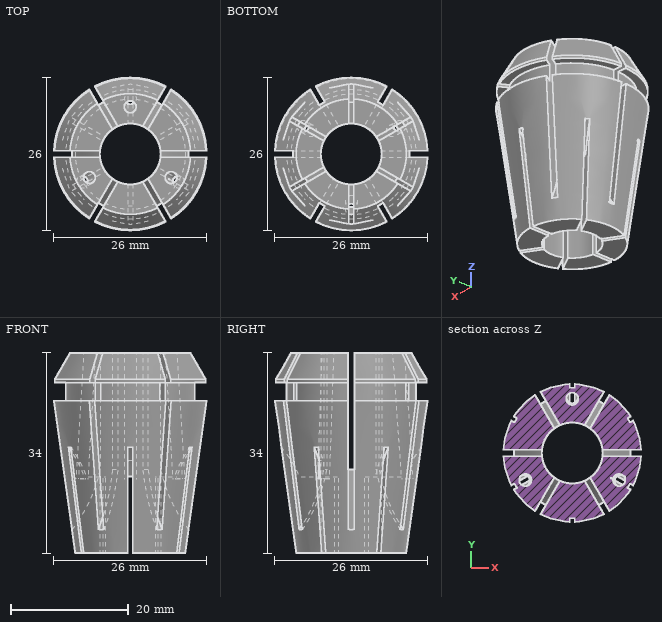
import cadquery as cq
import math


full_turn = 360.0

total_height = 34.0
body_radius = 13.0
body_height = 25.9
body_half_angle = 8.0
bore_radius = 5.15

groove_radius = 11.0
flange_radius = 12.85
flange_bottom = 28.95
flange_top = 29.5
head_half_angle = 30.0

slots_per_end = 6
slot_pitch = full_turn / slots_per_end
upper_cutter_radius = 25.0
upper_slot_width = 1.05
upper_slot_end = 4.0
upper_slot_bore_end = 14.2
lower_slot_width = 0.8
lower_slot_end = 18.0
lower_slot_inner_end = 13.0
lower_cutter_radius = 20.0
lower_runout_radius = 8.8

hole_count = 3
hole_radius = 1.0
hole_circle_radius = 8.0
hole_tilt = 4.0
hole_depth = 21.4
first_hole_angle = 90.0

hole_overshoot = 2.0


def body_radius_at(height):
    """Radius of the long clamping cone at the given height."""
    return body_radius - (body_height - height) * math.tan(math.radians(body_half_angle))


def make_blank():
    """Revolved collet without slots or holes."""
    head_slope = math.tan(math.radians(head_half_angle))
    top_radius = flange_radius - (total_height - flange_top) * head_slope
    return (
        cq.Workplane("XZ")
        .moveTo(bore_radius, 0)
        .lineTo(body_radius_at(0), 0)
        .lineTo(body_radius, body_height)
        .lineTo(groove_radius, body_height)
        .lineTo(groove_radius, flange_bottom)
        .lineTo(flange_radius, flange_bottom)
        .lineTo(flange_radius, flange_top)
        .lineTo(top_radius, total_height)
        .lineTo(bore_radius, total_height)
        .close()
        .revolve(full_turn, (0, 0, 0), (0, 1, 0))
    )


def make_slot(width, outer_end, inner_end, inner_radius, cutter_radius, open_end):
    """Slot in the XZ plane at +X, open at one end of the part.

    Its floor is flat out to inner_radius, then curves to meet the outer cone at outer_end.
    """
    outer_radius = body_radius_at(outer_end)
    direction = 1 if open_end > outer_end else -1

    chord_x = outer_radius - inner_radius
    chord_z = outer_end - inner_end
    chord = math.hypot(chord_x, chord_z)
    centre_offset = math.sqrt(cutter_radius**2 - (chord / 2) ** 2)
    centre_x = (outer_radius + inner_radius) / 2 - direction * centre_offset * chord_z / chord
    centre_z = (outer_end + inner_end) / 2 + direction * centre_offset * chord_x / chord

    disc = (
        cq.Workplane("XZ")
        .center(centre_x, centre_z)
        .circle(cutter_radius)
        .extrude(width / 2, both=True)
    )
    feed = abs(open_end - centre_z) + cutter_radius
    path = (
        cq.Workplane("XZ")
        .center(centre_x, centre_z + direction * feed / 2)
        .rect(2 * cutter_radius, feed)
        .extrude(width / 2, both=True)
    )
    inner_part = (
        cq.Workplane("XZ")
        .center(inner_radius / 2, (inner_end + open_end) / 2)
        .rect(inner_radius, abs(open_end - inner_end))
        .extrude(width / 2, both=True)
    )
    return disc.union(path).union(inner_part)


def make_hole():
    """Hole at +X that starts in the top face and leans outward as it goes down."""
    tilt = math.radians(hole_tilt)
    axis = cq.Vector(math.sin(tilt), 0, -math.cos(tilt))
    mouth = cq.Vector(hole_circle_radius, 0, total_height)
    length = hole_depth + hole_overshoot
    start = mouth - axis * hole_overshoot
    return cq.Workplane(cq.Solid.makeCylinder(hole_radius, length, start, axis))


def cut_around(part, tool, count, first_angle):
    """Cut copies of the tool evenly spaced around the axis."""
    for index in range(count):
        angle = first_angle + index * full_turn / count
        part = part.cut(tool.rotate((0, 0, 0), (0, 0, 1), angle))
    return part


upper_slot = make_slot(
    upper_slot_width,
    upper_slot_end,
    upper_slot_bore_end,
    bore_radius,
    upper_cutter_radius,
    total_height,
)
lower_slot = make_slot(
    lower_slot_width,
    lower_slot_end,
    lower_slot_inner_end,
    lower_runout_radius,
    lower_cutter_radius,
    0.0,
)

result = make_blank()
result = cut_around(result, upper_slot, slots_per_end, 0.0)
result = cut_around(result, lower_slot, slots_per_end, slot_pitch / 2)
result = cut_around(result, make_hole(), hole_count, first_hole_angle)